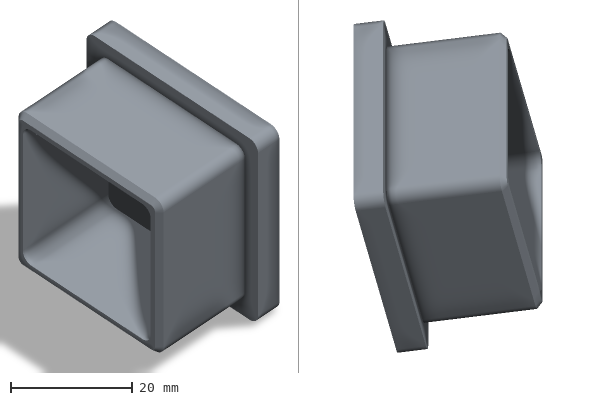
import cadquery as cq

flange_side = 40.0
flange_thickness = 5.0
corner_radius = 2.0

plug_side = 33.8
plug_length = 20.0
tip_chamfer = 1.0
wall_thickness = 2.0
cavity_side = plug_side - 2 * wall_thickness


def rounded_square_bar(side, length, front_y):
    """Square bar with rounded long edges, running from front_y toward +Y."""
    return (
        cq.Workplane("XZ", origin=(0, front_y, 0))
        .rect(side, side)
        .extrude(-length)
        .edges("|Y")
        .fillet(corner_radius)
    )


flange = rounded_square_bar(flange_side, flange_thickness, 0)
plug = rounded_square_bar(plug_side, plug_length, -plug_length).faces("<Y").chamfer(tip_chamfer)
cavity = rounded_square_bar(cavity_side, plug_length, -plug_length)

result = flange.union(plug).cut(cavity)